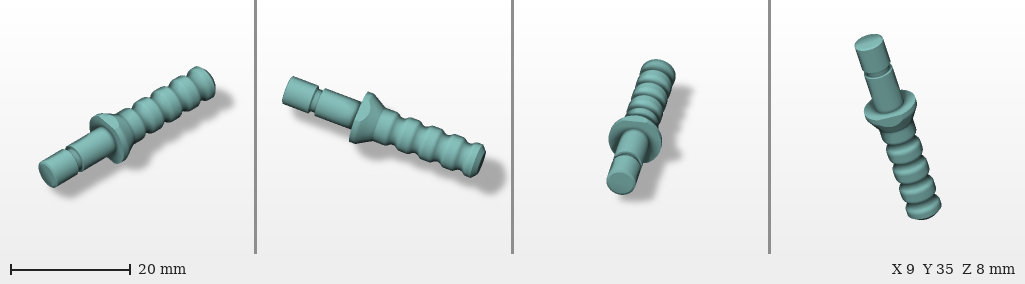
import cadquery as cq
import math

overall_length = 35.0
shank_length = 13.0
shank_radius = 4.97 / 2
shank_chamfer_length = 0.2
shank_chamfer_depth = 0.4

groove_start = 7.0
groove_width = 1.0
groove_radius = 4.0 / 2

flange_radius = 9.0 / 2
flange_rim = 1.0
flange_edge_radius = 1.0
cone_half_angle = math.radians(30)
flats_distance = 8.0

stem_radius = 6.0 / 2
stem_chamfer_length = 0.8
stem_chamfer_depth = 0.9
neck_count = 4
neck_pitch = 4.0
last_neck_from_end = 3.0
neck_radius = 2.4
neck_curve_radius = 1.05
bead_curve_radius = 0.9

front_end = -shank_length
rear_end = overall_length - shank_length
cone_end = flange_rim + (flange_radius - stem_radius) / math.tan(cone_half_angle)

neck_slope = math.acos(1 - (stem_radius - neck_radius) / (neck_curve_radius + bead_curve_radius))
neck_half_width = (neck_curve_radius + bead_curve_radius) * math.sin(neck_slope)


def circle_point(center, radius, angle):
    """Point on a circle, with the angle measured from the outward radial direction."""
    return (center[0] + radius * math.cos(angle), center[1] + radius * math.sin(angle))


def add_neck(outline, neck_y):
    """Continue the stem outline through one neck, towards the rear."""
    front_bead = (stem_radius - bead_curve_radius, neck_y - neck_half_width)
    rear_bead = (stem_radius - bead_curve_radius, neck_y + neck_half_width)
    neck_center = (neck_radius + neck_curve_radius, neck_y)
    return (
        outline.lineTo(stem_radius, neck_y - neck_half_width)
        .threePointArc(
            circle_point(front_bead, bead_curve_radius, neck_slope / 2),
            circle_point(front_bead, bead_curve_radius, neck_slope),
        )
        .threePointArc(
            (neck_radius, neck_y),
            circle_point(neck_center, neck_curve_radius, math.pi - neck_slope),
        )
        .threePointArc(
            circle_point(rear_bead, bead_curve_radius, -neck_slope / 2),
            (stem_radius, neck_y + neck_half_width),
        )
    )


def make_flange_edge(outline):
    """Continue the outline along the rim, its rounded edge and the cone."""
    center = (flange_radius - flange_edge_radius,
              flange_rim - flange_edge_radius * math.tan(cone_half_angle / 2))
    return (
        outline.lineTo(flange_radius, center[1])
        .threePointArc(
            circle_point(center, flange_edge_radius, cone_half_angle / 2),
            circle_point(center, flange_edge_radius, cone_half_angle),
        )
        .lineTo(stem_radius, cone_end)
    )


def make_turned_body():
    outline = (
        cq.Workplane("XY")
        .moveTo(0, front_end)
        .lineTo(shank_radius - shank_chamfer_depth, front_end)
        .lineTo(shank_radius, front_end + shank_chamfer_length)
        .lineTo(shank_radius, -groove_start - groove_width - shank_chamfer_length)
        .lineTo(shank_radius - shank_chamfer_depth, -groove_start - groove_width)
        .lineTo(groove_radius, -groove_start - groove_width)
        .lineTo(groove_radius, -groove_start)
        .lineTo(shank_radius, -groove_start)
        .lineTo(shank_radius, 0)
        .lineTo(flange_radius, 0)
    )
    outline = make_flange_edge(outline)
    for index in reversed(range(neck_count)):
        outline = add_neck(outline, rear_end - last_neck_from_end - index * neck_pitch)
    outline = (
        outline.lineTo(stem_radius, rear_end - stem_chamfer_length)
        .lineTo(stem_radius - stem_chamfer_depth, rear_end)
        .lineTo(0, rear_end)
        .close()
    )
    return outline.revolve(360, (0, 0, 0), (0, 1, 0))


def cut_flats(body):
    """Keep only what lies between the two flats, above and below the axis."""
    between_flats = (
        cq.Workplane("XY")
        .box(2 * flange_radius, overall_length, flats_distance)
        .translate((0, (front_end + rear_end) / 2, 0))
    )
    return body.intersect(between_flats)


result = cut_flats(make_turned_body())